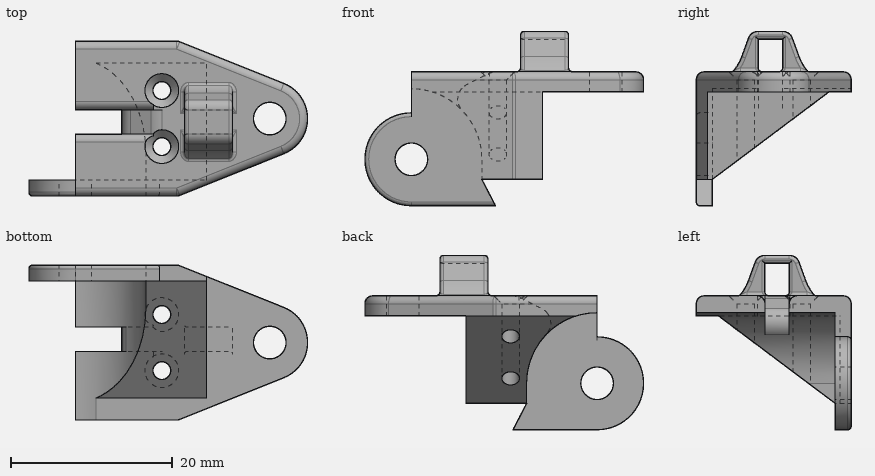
import cadquery as cq
import math


plate_width = 19.2
half_width = plate_width / 2
plate_thickness = 2.5
shoulder_x = 12.75
nose_x = 24.07
nose_radius = 4.7
nose_hole_diameter = 4.0
edge_radius = 1.0

wall_thickness = 2.0
wall_inner_y = -half_width + wall_thickness
wall_end_x = 16.25
wall_bottom_z = -13.33
pivot_radius = 5.75
pivot_z = -10.85
pivot_hole_diameter = 4.0
tab_bottom_z = pivot_z - pivot_radius
tab_tip_x = 10.43
small_radius = 0.5

clearance_radius = 8.75
gusset_top_y = 6.87

channel_y = -0.4
channel_width = 3.0
ramp_start_x = 10.7
ramp_angle = math.radians(27)
ramp_blend_radius = 2.97
ramp_nose_radius = 2.0

screw_x = 10.7
screw_spacing = 6.95
screw_diameter = 2.18
countersink_diameter = 4.18

loop_start_x = 13.5
loop_length = 5.97
loop_height = 5.0
loop_opening_height = 4.0
loop_shoulder_half_width = 2.73
loop_shoulder_angle = math.radians(70)
loop_flank_half_width = 3.55
loop_base_half_width = 4.65
opening_edge_radius = 0.35

margin = 0.05


def box(x0, x1, y0, y1, z0, z1):
    return cq.Workplane("XY").box(x1 - x0, y1 - y0, z1 - z0, centered=False).translate((x0, y0, z0))


def bar_along_y(profile, y0, y1):
    """Extrude an XZ profile between two Y positions."""
    return profile.extrude(y0 - y1).translate((0, y0, 0))


def tapered_outline(depth):
    """Plate outline extruded down: parallel sides, then flanks tangent to a round nose."""
    run = nose_x - shoulder_x
    reach = math.hypot(run, half_width)
    normal_angle = math.pi - math.acos(nose_radius / reach) - math.atan2(half_width, run)
    tangent_x = nose_x + nose_radius * math.cos(normal_angle)
    tangent_y = nose_radius * math.sin(normal_angle)
    outline = (
        cq.Workplane("XY")
        .moveTo(0, -half_width)
        .lineTo(shoulder_x, -half_width)
        .lineTo(tangent_x, -tangent_y)
        .threePointArc((nose_x + nose_radius, 0), (tangent_x, tangent_y))
        .lineTo(shoulder_x, half_width)
        .lineTo(0, half_width)
        .close()
        .extrude(-depth)
    )
    corners = cq.selectors.BoxSelector(
        (shoulder_x - margin, -plate_width, -depth), (shoulder_x + margin, plate_width, margin)
    )
    return outline.edges("|Z").edges(corners).fillet(edge_radius)


def make_body():
    """Plate, side wall and gusset, with the top rim rounded."""
    body = tapered_outline(-wall_bottom_z)
    body = body.faces(">Z").edges("not(<X)").fillet(edge_radius)
    gusset = (
        cq.Workplane("YZ")
        .moveTo(-half_width, -plate_thickness)
        .lineTo(-half_width, wall_bottom_z)
        .lineTo(wall_inner_y, wall_bottom_z)
        .lineTo(gusset_top_y, -plate_thickness)
        .close()
        .extrude(wall_end_x)
    )
    plate_zone = box(0, nose_x + nose_radius, -half_width, half_width, -plate_thickness, 0)
    body = body.intersect(plate_zone.union(gusset))
    swing = bar_along_y(
        cq.Workplane("XZ").center(0, pivot_z).circle(clearance_radius), wall_inner_y, half_width
    )
    below_swing = box(0, clearance_radius, wall_inner_y, half_width, tab_bottom_z, pivot_z)
    return body.cut(swing).cut(below_swing)


def make_pivot_tab():
    """Round lug in the plane of the wall, with a dovetail-angled front end."""
    profile = (
        cq.Workplane("XZ")
        .moveTo(0, pivot_z + pivot_radius)
        .threePointArc((-pivot_radius, pivot_z), (0, tab_bottom_z))
        .lineTo(tab_tip_x, tab_bottom_z)
        .lineTo(clearance_radius, wall_bottom_z)
        .lineTo(clearance_radius, pivot_z + pivot_radius)
        .close()
    )
    tab = bar_along_y(profile, -half_width, wall_inner_y)
    bottom_rim = cq.selectors.BoxSelector(
        (0, -half_width - margin, tab_bottom_z - margin),
        (tab_tip_x, -half_width + margin, tab_bottom_z + margin),
    )
    arc_rim = tab.faces("<Y").edges("%CIRCLE")
    return arc_rim.add(tab.edges(bottom_rim)).fillet(small_radius)


def make_slot():
    """Slot open to the rear whose floor ramps down and curls under a round nose."""
    sine = math.sin(ramp_angle)
    cosine = math.cos(ramp_angle)
    blend_z = -ramp_blend_radius

    def on_blend(angle):
        return (ramp_start_x - ramp_blend_radius * math.sin(angle),
                blend_z + ramp_blend_radius * math.cos(angle))

    ramp_top = on_blend(ramp_angle)
    centre_distance = clearance_radius + ramp_nose_radius
    across_ramp = (ramp_top[1] - pivot_z) * cosine - ramp_top[0] * sine - ramp_nose_radius
    along_ramp = math.sqrt(centre_distance**2 - across_ramp**2)
    nose_centre_x = along_ramp * cosine - across_ramp * sine
    nose_centre_z = pivot_z + along_ramp * sine + across_ramp * cosine
    ramp_end = (nose_centre_x - ramp_nose_radius * sine, nose_centre_z + ramp_nose_radius * cosine)
    nose_end_share = clearance_radius / centre_distance
    nose_end = (nose_centre_x * nose_end_share, pivot_z + (nose_centre_z - pivot_z) * nose_end_share)
    profile = (
        cq.Workplane("XZ")
        .moveTo(ramp_start_x, 0)
        .threePointArc(on_blend(ramp_angle / 2), ramp_top)
        .lineTo(*ramp_end)
        .threePointArc((nose_centre_x - ramp_nose_radius, nose_centre_z), nose_end)
        .lineTo(0, nose_end[1])
        .lineTo(0, 0)
        .close()
    )
    return bar_along_y(profile, channel_y - channel_width / 2, channel_y + channel_width / 2)


def make_slot_rounding(side):
    """Waste above the rounded top edge on one side of the slot."""
    edge_y = channel_y + side * channel_width / 2
    outer_y = edge_y + side * edge_radius
    diagonal = edge_radius * (1 - math.sqrt(0.5))
    return (
        cq.Workplane("YZ")
        .moveTo(edge_y, -edge_radius)
        .threePointArc((edge_y + side * diagonal, -diagonal), (outer_y, 0))
        .lineTo(edge_y, 0)
        .close()
        .extrude(ramp_start_x - edge_radius)
    )


def make_loop():
    """Bell-shaped strap loop with a rectangular opening along X."""
    half_opening = channel_width / 2
    shoulder_drop = (loop_shoulder_half_width - half_opening) * math.tan(loop_shoulder_angle / 2)
    shoulder_z = loop_height - shoulder_drop
    flank_drop = (loop_flank_half_width - loop_shoulder_half_width) * math.tan(loop_shoulder_angle)
    half = (
        cq.Workplane("YZ")
        .moveTo(0, loop_height)
        .lineTo(half_opening, loop_height)
        .tangentArcPoint((loop_shoulder_half_width, shoulder_z), relative=False)
        .lineTo(loop_flank_half_width, shoulder_z - flank_drop)
        .tangentArcPoint((loop_base_half_width, 0), relative=False)
        .lineTo(0, 0)
        .close()
        .extrude(loop_length)
    )
    loop = half.union(half.mirror("XZ")).clean()
    loop = loop.cut(box(0, loop_length, -half_opening, half_opening, 0, loop_opening_height))
    return loop.translate((loop_start_x, channel_y, 0))


def vertical_hole(x, y, diameter):
    return cq.Workplane("XY").center(x, y).circle(diameter / 2).extrude(tab_bottom_z)


def screw_hole(y):
    depth = (countersink_diameter - screw_diameter) / 2
    top = cq.Vector(screw_x, y, 0)
    down = cq.Vector(0, 0, -1)
    cone = cq.Solid.makeCone(countersink_diameter / 2, screw_diameter / 2, depth, top, down)
    return vertical_hole(screw_x, y, screw_diameter).union(cq.Workplane(cone))


def loop_zone(x, half_span, z0, z1, half_length=margin):
    """Selector for edges centred in a box around the loop's mid-width, at the given X and heights."""
    return cq.selectors.BoxSelector(
        (x - half_length, channel_y - half_span, z0), (x + half_length, channel_y + half_span, z1)
    )


def round_loop(body):
    """Blend the loop into the plate, then round both of its end faces."""
    x0 = loop_start_x
    x1 = loop_start_x + loop_length
    span = loop_base_half_width + margin
    opening_span = channel_width / 2 + margin
    opening_top = loop_opening_height + margin
    foot = loop_zone((x0 + x1) / 2, span, -margin, margin, loop_length / 2 + margin)
    end_faces = loop_zone(x0, span, margin, loop_height + margin) + loop_zone(
        x1, span, margin, loop_height + margin
    )
    opening = loop_zone(x0, opening_span, small_radius, opening_top) + loop_zone(
        x1, opening_span, small_radius, opening_top
    )
    body = body.edges(foot + (end_faces - opening)).fillet(small_radius)
    return body.edges(opening).fillet(opening_edge_radius)


result = make_body().union(make_pivot_tab()).cut(make_slot())
for side in (-1, 1):
    result = result.cut(make_slot_rounding(side))
result = result.union(make_loop())
result = round_loop(result)
for side in (-1, 1):
    result = result.cut(screw_hole(side * screw_spacing / 2))
result = result.cut(vertical_hole(nose_x, 0, nose_hole_diameter))
pivot_hole = cq.Workplane("XZ").center(0, pivot_z).circle(pivot_hole_diameter / 2)
result = result.cut(bar_along_y(pivot_hole, -half_width, wall_inner_y))